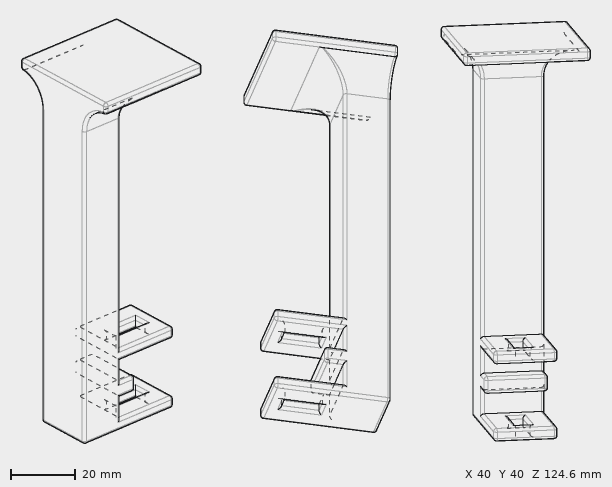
import cadquery as cq

plate_side = 40.0
plate_thickness = 4.0
total_height = 124.6

post_width = 20.0
post_depth = 15.0
flare_radius = (plate_side - post_width) / 2

prong_thickness = 4.0
prong_gap = 20.6
prong_reach = 37.0
peg_height = 5.3
peg_reach = 21.0

window_width = 4.5
window_margin = 5.0

edge_radius = 1.0

tolerance = 0.01

plate_bottom = total_height - plate_thickness
flare_bottom = plate_bottom - flare_radius
upper_prong_bottom = prong_thickness + prong_gap
upper_prong_top = upper_prong_bottom + prong_thickness
peg_bottom = prong_thickness + (prong_gap - peg_height) / 2
peg_top = peg_bottom + peg_height


def make_front_solid():
    """T-shaped XZ outline with concave flares, extruded over the full depth along +Y."""
    half_plate = plate_side / 2
    half_post = post_width / 2
    outline = (
        cq.Workplane("XZ")
        .moveTo(-half_post, 0)
        .lineTo(half_post, 0)
        .lineTo(half_post, flare_bottom)
        .radiusArc((half_plate, plate_bottom), flare_radius)
        .lineTo(half_plate, total_height)
        .lineTo(-half_plate, total_height)
        .lineTo(-half_plate, plate_bottom)
        .radiusArc((-half_post, flare_bottom), flare_radius)
        .close()
    )
    return outline.extrude(-plate_side)


def make_side_solid():
    """YZ outline with prongs, peg and flare, extruded over the full width along X."""
    outline = (
        cq.Workplane("YZ")
        .moveTo(0, 0)
        .lineTo(prong_reach, 0)
        .lineTo(prong_reach, prong_thickness)
        .lineTo(post_depth, prong_thickness)
        .lineTo(post_depth, peg_bottom)
        .lineTo(peg_reach, peg_bottom)
        .lineTo(peg_reach, peg_top)
        .lineTo(post_depth, peg_top)
        .lineTo(post_depth, upper_prong_bottom)
        .lineTo(prong_reach, upper_prong_bottom)
        .lineTo(prong_reach, upper_prong_top)
        .lineTo(post_depth, upper_prong_top)
        .lineTo(post_depth, flare_bottom)
        .radiusArc((post_depth + flare_radius, plate_bottom), flare_radius)
        .lineTo(plate_side, plate_bottom)
        .lineTo(plate_side, total_height)
        .lineTo(0, total_height)
        .close()
    )
    return outline.extrude(plate_side / 2, both=True)


def round_outer_edges(body):
    """Round the outer edges; the tangent lines, inside corners and lower plate rim stay as they are."""
    everywhere = 2 * total_height
    inside_corners = cq.selectors.BoxSelector(
        (-tolerance, post_depth - tolerance, 0),
        (tolerance, post_depth + tolerance, everywhere),
    )
    flare_bottom_lines = cq.selectors.BoxSelector(
        (-everywhere, -everywhere, flare_bottom - tolerance),
        (everywhere, everywhere, flare_bottom + tolerance),
    )
    plate_rim = cq.selectors.BoxSelector(
        (-everywhere, -everywhere, plate_bottom - tolerance),
        (everywhere, everywhere, plate_bottom + tolerance),
    )
    kept_sharp = inside_corners + flare_bottom_lines + plate_rim
    return body.edges(-kept_sharp).fillet(edge_radius)


def cut_windows(body):
    """Cut the window through both prongs and round its rims."""
    length = prong_reach - post_depth - 2 * window_margin
    center_y = (prong_reach + post_depth) / 2
    for bottom in (0, upper_prong_bottom):
        window = (
            cq.Workplane("XY", origin=(0, center_y, bottom))
            .rect(window_width, length)
            .extrude(prong_thickness)
        )
        body = body.cut(window)
        for level in (bottom, bottom + prong_thickness):
            rim = cq.selectors.BoxSelector(
                (-window_width / 2 - tolerance, center_y - length / 2 - tolerance, level - tolerance),
                (window_width / 2 + tolerance, center_y + length / 2 + tolerance, level + tolerance),
            )
            body = body.edges(rim).fillet(edge_radius)
    return body


def make_plate_envelope():
    """Plate rounded on every edge, joined to a block that clears everything below it."""
    plate = (
        cq.Workplane("XY", origin=(0, plate_side / 2, plate_bottom))
        .rect(plate_side, plate_side)
        .extrude(plate_thickness)
        .edges()
        .fillet(edge_radius)
    )
    clear_width = plate_side - 2 * edge_radius
    clear_depth = plate_side - edge_radius
    clear_block = (
        cq.Workplane("XY", origin=(0, clear_depth / 2, 0))
        .rect(clear_width, clear_depth)
        .extrude(plate_bottom + edge_radius)
    )
    return plate.union(clear_block)


body = make_front_solid().intersect(make_side_solid())
body = round_outer_edges(body)
body = cut_windows(body)
result = body.intersect(make_plate_envelope())